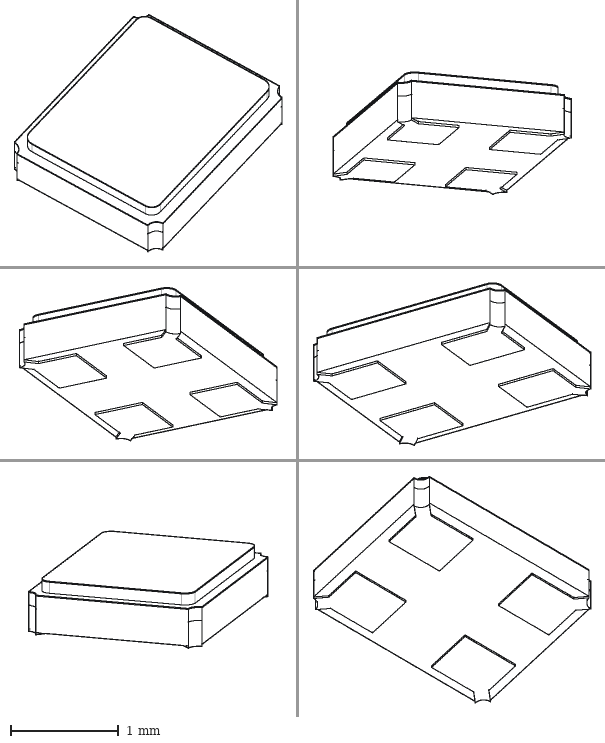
import cadquery as cq

length_x = 1.7
length_y = 2.1
total_height = 0.5

pad_thickness = 0.02
post_top = 0.25
base_top = 0.374
film_thickness = 0.01

edge_margin = 0.1
pad_end_x = 0.6
pad_end_y = 0.7

seal_film_top = base_top + film_thickness
lid_top = total_height - film_thickness
lid_length_x = length_x - 2 * edge_margin
lid_length_y = length_y - 2 * edge_margin
notch_radius = edge_margin
lid_corner_radius = edge_margin


def block(bottom, top, size_x, size_y):
    """Rectangular plate centred on the Z axis between two heights."""
    return cq.Workplane("XY", origin=(0, 0, bottom)).rect(size_x, size_y).extrude(top - bottom)


def notched_block(bottom, top):
    """Full-size plate with a quarter-round notch at each corner."""
    envelope = cq.Workplane("XY", origin=(0, 0, bottom)).rect(length_x, length_y, forConstruction=True)
    notches = envelope.vertices().circle(notch_radius).extrude(top - bottom)
    return block(bottom, top, length_x, length_y).cut(notches)


def make_lid_layer(bottom, top):
    """Layer of the lid: rectangle with rounded corners."""
    layer = block(bottom, top, lid_length_x, lid_length_y)
    return layer.edges("|Z").fillet(lid_corner_radius)


def make_terminal():
    """Terminal at the (-X, -Y) corner: pad under the base and post behind the corner notch.

    Both start at the two ends of the notch and flare inwards at 45 degrees.
    """
    corner = cq.Workplane("XY", origin=(-length_x / 2, -length_y / 2, 0))
    flare_end = notch_radius + edge_margin
    pad = (
        corner.lineTo(notch_radius, 0)
        .lineTo(flare_end, edge_margin)
        .lineTo(pad_end_x, edge_margin)
        .lineTo(pad_end_x, pad_end_y)
        .lineTo(edge_margin, pad_end_y)
        .lineTo(edge_margin, flare_end)
        .lineTo(0, notch_radius)
        .close()
        .extrude(pad_thickness)
    )
    post = (
        corner.lineTo(notch_radius, 0)
        .lineTo(flare_end, edge_margin)
        .lineTo(edge_margin, flare_end)
        .lineTo(0, notch_radius)
        .close()
        .extrude(post_top)
    )
    notch = corner.circle(notch_radius).extrude(post_top)
    return pad.union(post).cut(notch)


def make_terminals():
    """One terminal at each corner, mirrored across the centre planes."""
    front_left = make_terminal()
    terminals = []
    for left in (front_left, front_left.mirror("XZ")):
        terminals.append(left)
        terminals.append(left.mirror("YZ"))
    return terminals


def make_base(terminals):
    """Base with notched corners and a matching recess for each terminal post."""
    base = notched_block(pad_thickness, base_top)
    for terminal in terminals:
        base = base.cut(terminal)
    return base


terminals = make_terminals()
base = make_base(terminals)
seal_film = notched_block(base_top, seal_film_top)
lid = make_lid_layer(seal_film_top, lid_top)
lid_film = make_lid_layer(lid_top, total_height)

result = cq.Compound.makeCompound([
    base.solids().val(),
    seal_film.solids().val(),
    lid.solids().val(),
    lid_film.solids().val(),
    *[terminal.solids().val() for terminal in terminals],
])